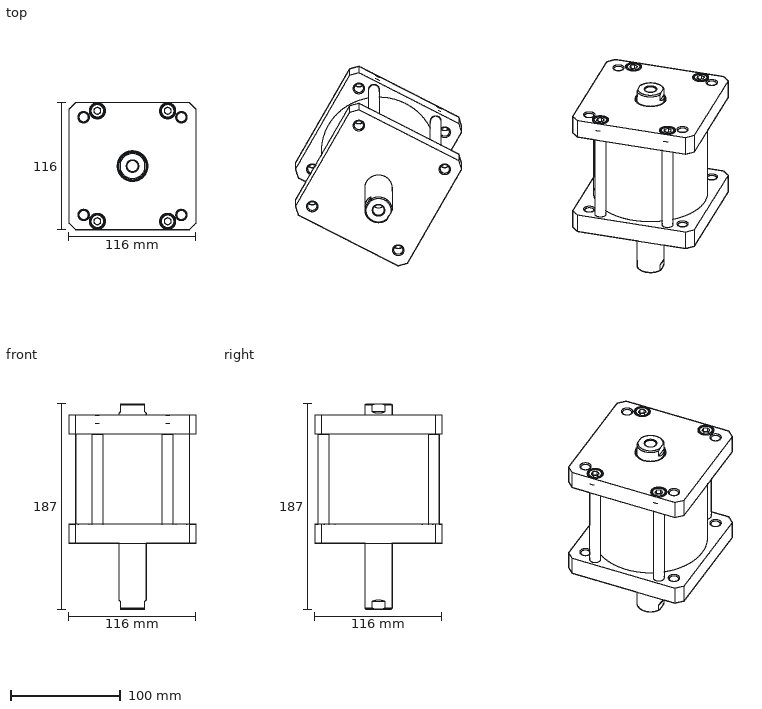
import cadquery as cq
import math

PLATE_SIDE = 116.0
PLATE_THICKNESS = 17.5
PLATE_CORNER_CUT = 6.3
BARREL_LENGTH = 82.0
TOP_PLATE_Z = PLATE_THICKNESS + BARREL_LENGTH
TOP_FACE_Z = TOP_PLATE_Z + PLATE_THICKNESS

BARREL_OUTER_DIAMETER = 104.0
BARREL_BORE = 100.0

SHAFT_DIAMETER = 25.0
SHAFT_BELOW = 60.0
SHAFT_ABOVE = 10.0
SHAFT_LENGTH = SHAFT_BELOW + TOP_FACE_Z + SHAFT_ABOVE
SHAFT_END_CHAMFER = 1.1
FLATS_WIDTH = 22.0
FLATS_LENGTH = 7.0
FLAT_DEPTH = (SHAFT_DIAMETER - FLATS_WIDTH) / 2
SHAFT_THREAD_CORE = 10.11
SHAFT_THREAD_MOUTH = 11.5
SHAFT_THREAD_DEPTH = 20.0
SHAFT_THREAD_POINT_ANGLE = 160.0

BUSH_OUTER_DIAMETER = 28.0
BUSH_RECESS = 1.2
BUSH_LENGTH = PLATE_THICKNESS - BUSH_RECESS
BUSH_OUTER_CHAMFER = 0.55
BUSH_BORE_CHAMFER = 0.3

MOUNT_PITCH = 89.0
MOUNT_HOLE_DIAMETER = 8.38
MOUNT_MOUTH_DIAMETER = 10.4

TIE_PITCH_X = 64.0
TIE_PITCH_Y = 100.6
ROD_DIAMETER = 10.0
ROD_TOP_CHAMFER = 0.5
ROD_SEAT_DEPTH = 10.0
NECK_DIAMETER = 8.0
HEAD_DIAMETER = 13.0
HEAD_HEIGHT = 8.0
HEAD_CHAMFER = 0.8
SOCKET_ACROSS_FLATS = 6.0
SOCKET_DEPTH = 4.0
SOCKET_POINT_ANGLE = 120.0
COUNTERBORE_DIAMETER = 14.0
COUNTERBORE_CHAMFER = 0.35


def corner_points(pitch_x, pitch_y):
    """Four points of a rectangle centred on the Z axis."""
    return [(sx * pitch_x / 2, sy * pitch_y / 2) for sx in (-1, 1) for sy in (-1, 1)]


MOUNT_POINTS = corner_points(MOUNT_PITCH, MOUNT_PITCH)
TIE_POINTS = corner_points(TIE_PITCH_X, TIE_PITCH_Y)


def drill_point_height(diameter, point_angle):
    """Depth of the cone that a drill leaves at the end of a blind hole."""
    return diameter / 2 / math.tan(math.radians(point_angle / 2))


def rod_at(points, diameter, z_start, length):
    """Upright cylinders used as bodies or as cutters."""
    return cq.Workplane("XY", origin=(0, 0, z_start)).pushPoints(points).circle(diameter / 2).extrude(length)


def plate_blank(z_start):
    """Square plate with cut corners and tapped mounting holes countersunk on both faces."""
    plate = (
        cq.Workplane("XY", origin=(0, 0, z_start))
        .rect(PLATE_SIDE, PLATE_SIDE)
        .extrude(PLATE_THICKNESS)
        .edges("|Z")
        .chamfer(PLATE_CORNER_CUT)
    )
    cutter = mount_hole_cutter(z_start)
    for x, y in MOUNT_POINTS:
        plate = plate.cut(cutter.translate((x, y, 0)))
    return plate


def mount_hole_cutter(z_start):
    """Cutter for a mounting hole on the Z axis with a 45 degree mouth at each end."""
    hole_radius = MOUNT_HOLE_DIAMETER / 2
    mouth_radius = MOUNT_MOUTH_DIAMETER / 2
    mouth_depth = mouth_radius - hole_radius
    z_end = z_start + PLATE_THICKNESS
    return (
        cq.Workplane("XZ")
        .moveTo(0, z_start)
        .lineTo(mouth_radius, z_start)
        .lineTo(hole_radius, z_start + mouth_depth)
        .lineTo(hole_radius, z_end - mouth_depth)
        .lineTo(mouth_radius, z_end)
        .lineTo(0, z_end)
        .close()
        .revolve(360, (0, 0, 0), (0, 1, 0))
    )


def make_bottom_plate():
    """Plate with the shaft hole and blind seats for the tie rods."""
    plate = plate_blank(0)
    plate = plate.cut(rod_at([(0, 0)], SHAFT_DIAMETER, 0, PLATE_THICKNESS))
    return plate.cut(rod_at(TIE_POINTS, ROD_DIAMETER, PLATE_THICKNESS - ROD_SEAT_DEPTH, ROD_SEAT_DEPTH))


def make_top_plate():
    """Plate with the bush hole and counterbored holes for the tie rods."""
    plate = plate_blank(TOP_PLATE_Z)
    plate = plate.cut(rod_at([(0, 0)], BUSH_OUTER_DIAMETER, TOP_PLATE_Z, PLATE_THICKNESS))
    plate = plate.cut(rod_at(TIE_POINTS, NECK_DIAMETER, TOP_PLATE_Z, PLATE_THICKNESS))
    plate = plate.cut(rod_at(TIE_POINTS, COUNTERBORE_DIAMETER, TOP_FACE_Z - HEAD_HEIGHT, HEAD_HEIGHT))
    counterbore_rim = cq.selectors.RadiusNthSelector(1)
    return plate.faces(">Z").edges("%CIRCLE").edges(counterbore_rim).chamfer(COUNTERBORE_CHAMFER)


def make_barrel():
    """Plain tube clamped between the plates."""
    return (
        cq.Workplane("XY", origin=(0, 0, PLATE_THICKNESS))
        .circle(BARREL_OUTER_DIAMETER / 2)
        .circle(BARREL_BORE / 2)
        .extrude(BARREL_LENGTH)
    )


def make_bush():
    """Sleeve in the top plate, chamfered inside and outside at its top."""
    bush = (
        cq.Workplane("XY", origin=(0, 0, TOP_PLATE_Z))
        .circle(BUSH_OUTER_DIAMETER / 2)
        .circle(SHAFT_DIAMETER / 2)
        .extrude(BUSH_LENGTH)
    )
    bore_rim = cq.selectors.RadiusNthSelector(0)
    outer_rim = cq.selectors.RadiusNthSelector(-1)
    bush = bush.faces(">Z").edges(outer_rim).chamfer(BUSH_OUTER_CHAMFER)
    return bush.faces(">Z").edges(bore_rim).chamfer(BUSH_BORE_CHAMFER)


def shaft_flat_cutter(z_end):
    """Cutter for one wrench flat on the +X side below z_end, with a 45 degree run-out."""
    return (
        cq.Workplane("XZ")
        .moveTo(FLATS_WIDTH / 2, z_end)
        .lineTo(SHAFT_DIAMETER / 2, z_end)
        .lineTo(SHAFT_DIAMETER / 2, z_end - FLATS_LENGTH - FLAT_DEPTH)
        .lineTo(FLATS_WIDTH / 2, z_end - FLATS_LENGTH)
        .close()
        .extrude(SHAFT_DIAMETER / 2, both=True)
    )


def shaft_thread_cutter(z_end):
    """Cutter for the countersunk axial hole with a drill point, opening at z_end."""
    core_radius = SHAFT_THREAD_CORE / 2
    mouth_radius = SHAFT_THREAD_MOUTH / 2
    z_floor = z_end - SHAFT_THREAD_DEPTH
    return (
        cq.Workplane("XZ")
        .moveTo(0, z_end)
        .lineTo(mouth_radius, z_end)
        .lineTo(core_radius, z_end - (mouth_radius - core_radius))
        .lineTo(core_radius, z_floor)
        .lineTo(0, z_floor - drill_point_height(SHAFT_THREAD_CORE, SHAFT_THREAD_POINT_ANGLE))
        .close()
        .revolve(360, (0, 0, 0), (0, 1, 0))
    )


def make_shaft():
    """Through shaft with the same flats, chamfer and axial hole at both ends."""
    half_length = SHAFT_LENGTH / 2
    shaft = rod_at([(0, 0)], SHAFT_DIAMETER, -half_length, SHAFT_LENGTH)
    shaft = shaft.faces("<Z or >Z").edges().chamfer(SHAFT_END_CHAMFER)
    flat = shaft_flat_cutter(half_length)
    end_cutters = [flat, flat.mirror("YZ"), shaft_thread_cutter(half_length)]
    for cutter in end_cutters:
        shaft = shaft.cut(cutter).cut(cutter.mirror("XY"))
    return shaft.translate((0, 0, half_length - SHAFT_BELOW))


def make_tie_rod(x, y):
    """Tie rod from its seat in the bottom plate up to the socket head in the top plate."""
    rod_bottom = PLATE_THICKNESS - ROD_SEAT_DEPTH
    head_bottom = TOP_FACE_Z - HEAD_HEIGHT
    socket_floor = TOP_FACE_Z - SOCKET_DEPTH
    axis = [(0, 0)]

    rod = rod_at(axis, ROD_DIAMETER, rod_bottom, TOP_PLATE_Z - rod_bottom)
    rod = rod.faces(">Z").edges().chamfer(ROD_TOP_CHAMFER)
    neck = rod_at(axis, NECK_DIAMETER, TOP_PLATE_Z, head_bottom - TOP_PLATE_Z)
    head = rod_at(axis, HEAD_DIAMETER, head_bottom, HEAD_HEIGHT)
    head = head.faces(">Z").edges().chamfer(HEAD_CHAMFER)

    across_corners = SOCKET_ACROSS_FLATS / math.cos(math.pi / 6)
    socket = (
        cq.Workplane("XY", origin=(0, 0, socket_floor))
        .transformed(rotate=(0, 0, 90))
        .polygon(6, across_corners)
        .extrude(SOCKET_DEPTH)
    )
    point_height = drill_point_height(SOCKET_ACROSS_FLATS, SOCKET_POINT_ANGLE)
    socket_point = cq.Workplane(
        cq.Solid.makeCone(0, SOCKET_ACROSS_FLATS / 2, point_height, cq.Vector(0, 0, socket_floor - point_height))
    )
    tie_rod = rod.union(neck).union(head).cut(socket).cut(socket_point)
    return tie_rod.translate((x, y, 0))


bottom_plate = make_bottom_plate()
top_plate = make_top_plate()
barrel = make_barrel()
bush = make_bush()
shaft = make_shaft()
tie_rods = [make_tie_rod(x, y) for x, y in TIE_POINTS]

result = cq.Compound.makeCompound(
    [
        bottom_plate.val(),
        top_plate.val(),
        barrel.val(),
        bush.val(),
        shaft.val(),
        *[tie_rod.val() for tie_rod in tie_rods],
    ]
)